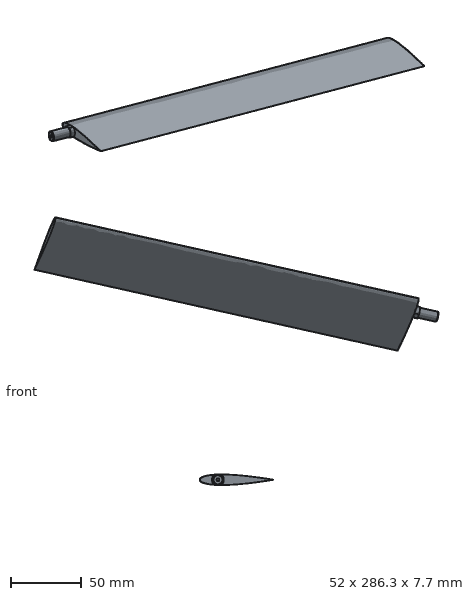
import cadquery as cq
import math

overall_length = 286.3
chord = 52.0
thickness = 7.7
section_steps = 24

stub_setback = 13.0
collar_length = 3.5
collar_diameter = 8.5
shaft_length = 14.0
shaft_diameter = 7.5
tip_chamfer = 0.5
bore_diameter = 2.0
bore_depth = 4.3

stub_length = collar_length + shaft_length
blade_length = overall_length - stub_length
leading_edge_x = -stub_setback


def half_thickness(fraction):
    """Half thickness of a four-digit NACA section at a fraction of the chord."""
    shape = (
        0.2969 * math.sqrt(fraction)
        - 0.1260 * fraction
        - 0.3516 * fraction**2
        + 0.2843 * fraction**3
        - 0.1015 * fraction**4
    )
    return 5 * thickness * shape


def section_points(side):
    """Points from the leading to the trailing edge, closer together at both ends."""
    points = []
    for step in range(section_steps + 1):
        fraction = (1 - math.cos(math.pi * step / section_steps)) / 2
        points.append((leading_edge_x + chord * fraction, side * half_thickness(fraction)))
    return points


def make_blade():
    """Blade with its root face at Y = 0 and its tip toward +Y."""
    upper = section_points(1)
    lower = section_points(-1)
    return (
        cq.Workplane("XZ")
        .moveTo(*upper[0])
        .spline(upper[1:], includeCurrent=True)
        .lineTo(*lower[-1])
        .spline(lower[-2::-1], includeCurrent=True)
        .close()
        .extrude(-blade_length)
    )


def make_stub():
    """Stub that butts against the blade root and points toward -Y."""
    flats = cq.Workplane("XZ").rect(collar_diameter, thickness).extrude(collar_length)
    collar = cq.Workplane("XZ").circle(collar_diameter / 2).extrude(collar_length).intersect(flats)
    shaft = (
        cq.Workplane("XZ", origin=(0, -collar_length, 0))
        .circle(shaft_diameter / 2)
        .extrude(shaft_length)
        .faces("<Y")
        .chamfer(tip_chamfer)
    )
    bore = (
        cq.Workplane("XZ", origin=(0, bore_depth - stub_length, 0))
        .circle(bore_diameter / 2)
        .extrude(bore_depth)
    )
    return collar.union(shaft).cut(bore)


blade = make_blade()
stub = make_stub()
result = cq.Compound.makeCompound([blade.val(), stub.val()])